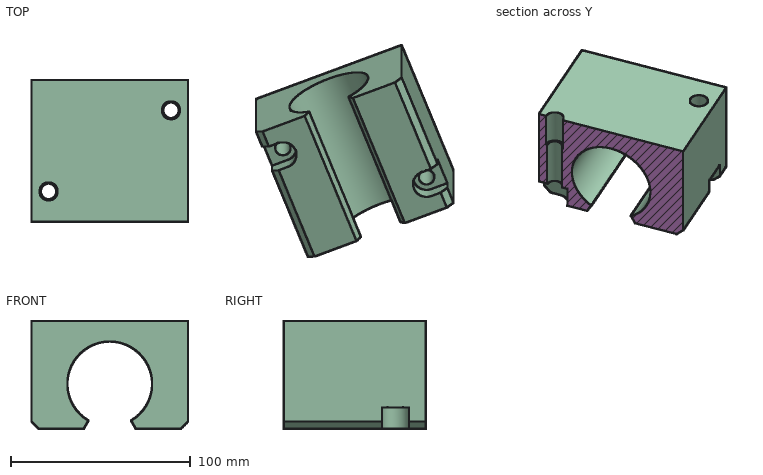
import cadquery as cq
import math

width = 87
depth = 79.0
height = 60
edge_chamfer = 4.0

bore_diameter = 47
bore_axis_height = 25.0
mouth_half_angle = math.radians(30)

hole_x = 34.0
hole_y = 22.5
hole_diameter = 8.6
upper_hole_diameter = 10.0
upper_hole_depth = 20

slot_width = 15.0
slot_height = 12.0


def make_block():
    block = cq.Workplane("XY").box(width, depth, height, centered=(True, True, False))
    return block.edges("|Y and <Z").chamfer(edge_chamfer)


def make_bore():
    bore = (
        cq.Workplane("XZ")
        .center(0, bore_axis_height)
        .circle(bore_diameter / 2)
        .extrude(depth / 2, both=True)
    )
    mouth_half_width = bore_axis_height * math.tan(mouth_half_angle)
    mouth = (
        cq.Workplane("XZ")
        .moveTo(0, bore_axis_height)
        .lineTo(-mouth_half_width, 0)
        .lineTo(mouth_half_width, 0)
        .close()
        .extrude(depth / 2, both=True)
    )
    return bore.union(mouth)


def make_hole(side):
    """Stepped hole and its slot, open to the side face at -X (side = -1) or +X (side = 1)."""
    x = side * hole_x
    y = side * hole_y
    edge_distance = width / 2 - hole_x
    hole = cq.Workplane("XY").center(x, y).circle(hole_diameter / 2).extrude(height)
    upper_hole = (
        cq.Workplane("XY", origin=(x, y, height))
        .circle(upper_hole_diameter / 2)
        .extrude(-upper_hole_depth)
    )
    slot_end = cq.Workplane("XY").center(x, y).circle(slot_width / 2).extrude(slot_height)
    slot_run = (
        cq.Workplane("XY")
        .center(x + side * edge_distance / 2, y)
        .rect(edge_distance, slot_width)
        .extrude(slot_height)
    )
    return hole.union(upper_hole).union(slot_end).union(slot_run)


result = make_block().cut(make_bore())
for side in (-1, 1):
    result = result.cut(make_hole(side))